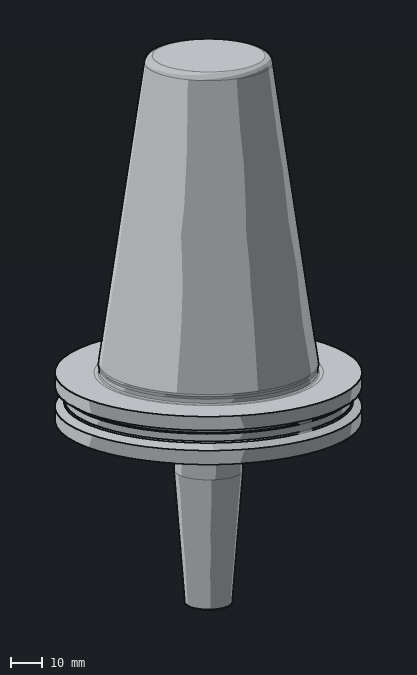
import cadquery as cq
import math


gauge_radius = 69.85 / 2
shank_length = 101.75
taper_slope = 7 / 48
shank_end_fillet = 2.5

undercut_start = -0.7
undercut_depth = 0.25
undercut_runout_angle = 15.0
undercut_face_radius = 36.4
undercut_face_angle = 8.0
undercut_corner_radius = 0.4

flange_radius = 97.5 / 2
flange_top = -3.2
flange_bottom = -19.1
groove_center = -11.1
groove_floor_radius = 91.25 / 2
groove_floor_width = 3.1
groove_wall_angle = 30.0
groove_floor_fillet = 0.6

nose_end = -80.0
nose_radius = 11.0
nose_tip_radius = 7.5
nose_cone_start = -35.5
nose_root_fillet = 2.0
nose_tip_chamfer = 0.5


def revolve_about_z(profile):
    """Turn a closed (radius, height) profile around the Z axis."""
    return profile.close().revolve(360, (0, 0, 0), (0, 1, 0))


def make_shank():
    """Steep taper on a short cylindrical land, with a rounded small end."""
    end_radius = gauge_radius - taper_slope * shank_length
    shank = revolve_about_z(
        cq.Workplane("XZ")
        .moveTo(0, flange_top)
        .lineTo(gauge_radius, flange_top)
        .lineTo(gauge_radius, 0)
        .lineTo(end_radius, shank_length)
        .lineTo(0, shank_length)
    )
    return shank.faces(">Z").edges().fillet(shank_end_fillet)


def make_undercut():
    """Ring to cut away: a shallow neck that curves into a shallow cone in the flange face."""
    neck_radius = gauge_radius - undercut_depth
    runout_height = undercut_depth / math.tan(math.radians(undercut_runout_angle))
    face_angle = math.radians(undercut_face_angle)

    arc_r = neck_radius + undercut_corner_radius
    slope_drop = (undercut_face_radius - arc_r) * math.tan(face_angle)
    arc_z = flange_top - slope_drop + undercut_corner_radius / math.cos(face_angle)

    def arc_point(angle):
        return (
            arc_r + undercut_corner_radius * math.cos(angle),
            arc_z + undercut_corner_radius * math.sin(angle),
        )

    neck_end = math.pi
    face_end = 1.5 * math.pi + face_angle
    return revolve_about_z(
        cq.Workplane("XZ")
        .moveTo(gauge_radius, undercut_start)
        .lineTo(neck_radius, undercut_start - runout_height)
        .lineTo(*arc_point(neck_end))
        .threePointArc(arc_point((neck_end + face_end) / 2), arc_point(face_end))
        .lineTo(undercut_face_radius, flange_top)
        .lineTo(undercut_face_radius, undercut_start)
    )


def make_flange():
    """Disc with a round-cornered V-groove around its rim."""
    disc = (
        cq.Workplane("XY")
        .workplane(offset=flange_bottom)
        .circle(flange_radius)
        .extrude(flange_top - flange_bottom)
    )
    groove_depth = flange_radius - groove_floor_radius
    half_floor = groove_floor_width / 2
    half_mouth = half_floor + groove_depth * math.tan(math.radians(groove_wall_angle))
    groove = revolve_about_z(
        cq.Workplane("XZ")
        .moveTo(flange_radius, groove_center - half_mouth)
        .lineTo(groove_floor_radius, groove_center - half_floor)
        .lineTo(groove_floor_radius, groove_center + half_floor)
        .lineTo(flange_radius, groove_center + half_mouth)
    )
    floor_edges = cq.selectors.RadiusNthSelector(0)
    return disc.cut(groove.edges(floor_edges).fillet(groove_floor_fillet))


def make_nose():
    """Cylinder and cone below the flange, filleted at the root and chamfered at the tip."""
    root_inset = nose_root_fillet * (1 - math.sqrt(0.5))
    nose = revolve_about_z(
        cq.Workplane("XZ")
        .moveTo(0, nose_end)
        .lineTo(nose_tip_radius, nose_end)
        .lineTo(nose_radius, nose_cone_start)
        .lineTo(nose_radius, flange_bottom - nose_root_fillet)
        .threePointArc(
            (nose_radius + root_inset, flange_bottom - root_inset),
            (nose_radius + nose_root_fillet, flange_bottom),
        )
        .lineTo(0, flange_bottom)
    )
    return nose.faces("<Z").edges().chamfer(nose_tip_chamfer)


holder = make_flange().union(make_shank()).union(make_nose())
result = holder.cut(make_undercut())